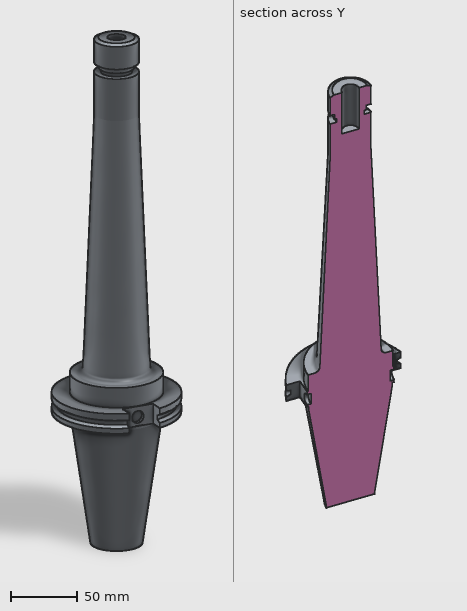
import cadquery as cq

total_height = 406.5

shank_top_z = 102.5
shank_bottom_radius = 20.0
taper_ratio = 7 / 24
shank_top_radius = shank_bottom_radius + shank_top_z * taper_ratio / 2

flange_radius = 49.0
flange_bottom_z = 105.3
flange_top_z = 121.0
groove_center_z = 112.5
groove_mouth = 6.5
groove_floor = 3.3
groove_depth = 3.5
slot_width = 25.5
slot_floor_x = 36.0
dimple_radius = 5.0
dimple_depth = 3.3

collar_radius = 35.5
collar_top_z = 137.0
fillet_radius = 4.5
arbor_bottom_radius = 25.5
fillet_top_z = collar_top_z + fillet_radius
nose_radius = 17.0
nose_bottom_z = 345.0

relief_bottom_z = 378.8
relief_step_z = 382.0
nut_bottom_z = 386.5
relief_lower_radius = 11.8
relief_upper_radius = 13.5
nut_chamfer_height = 1.5
nut_face_radius = 14.0
bore_radius = 7.0
bore_depth = 40.5


def turned_body():
    """Half profile revolved about the Z axis."""
    groove_radius = flange_radius - groove_depth
    fillet_outer_radius = arbor_bottom_radius + fillet_radius
    fillet_mid_offset = fillet_radius * (1 - 0.5 ** 0.5)
    return (
        cq.Workplane("XZ")
        .lineTo(shank_bottom_radius, 0)
        .lineTo(shank_top_radius, shank_top_z)
        .lineTo(shank_top_radius, flange_bottom_z)
        .lineTo(flange_radius, flange_bottom_z)
        .lineTo(flange_radius, groove_center_z - groove_mouth / 2)
        .lineTo(groove_radius, groove_center_z - groove_floor / 2)
        .lineTo(groove_radius, groove_center_z + groove_floor / 2)
        .lineTo(flange_radius, groove_center_z + groove_mouth / 2)
        .lineTo(flange_radius, flange_top_z)
        .lineTo(collar_radius, flange_top_z)
        .lineTo(collar_radius, collar_top_z)
        .lineTo(fillet_outer_radius, collar_top_z)
        .threePointArc(
            (arbor_bottom_radius + fillet_mid_offset, collar_top_z + fillet_mid_offset),
            (arbor_bottom_radius, fillet_top_z),
        )
        .lineTo(nose_radius, nose_bottom_z)
        .lineTo(nose_radius, relief_bottom_z)
        .lineTo(relief_lower_radius, relief_bottom_z)
        .lineTo(relief_lower_radius, relief_step_z)
        .lineTo(relief_upper_radius, relief_step_z)
        .lineTo(relief_upper_radius, nut_bottom_z)
        .lineTo(nose_radius, nut_bottom_z)
        .lineTo(nose_radius, total_height - nut_chamfer_height)
        .lineTo(nut_face_radius, total_height)
        .lineTo(0, total_height)
        .close()
        .revolve(360, (0, 0, 0), (0, 1, 0))
    )


def drive_slot(side):
    """Slot through the flange on the +X (side=1) or -X (side=-1) side, with a round dimple in its floor."""
    slot_depth = flange_radius - slot_floor_x
    slot = cq.Workplane("XY").box(
        slot_depth, slot_width, flange_top_z - flange_bottom_z, centered=(True, True, False)
    ).translate((side * (slot_floor_x + slot_depth / 2), 0, flange_bottom_z))
    dimple = (
        cq.Workplane("YZ", origin=(side * slot_floor_x, 0, groove_center_z))
        .circle(dimple_radius)
        .extrude(-side * dimple_depth)
    )
    return slot.union(dimple)


def nut_bore():
    """Blind bore from the top face."""
    return (
        cq.Workplane("XY", origin=(0, 0, total_height))
        .circle(bore_radius)
        .extrude(-bore_depth)
    )


result = turned_body().cut(nut_bore())
for slot_side in (-1, 1):
    result = result.cut(drive_slot(slot_side))